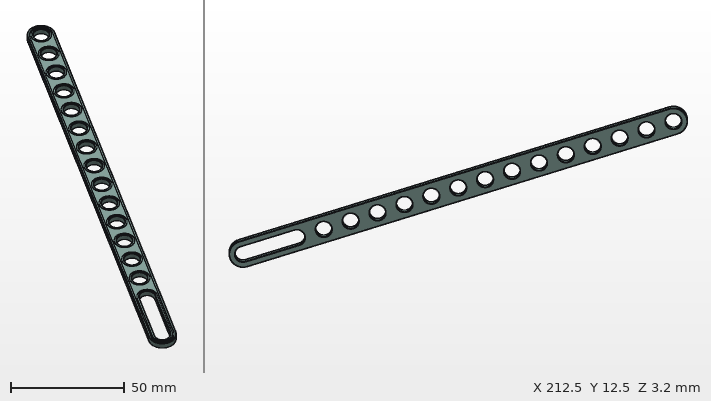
import cadquery as cq

length = 212.5
pitch_count = 17
hole_count = 14
thickness = 3.2
hole_diameter = 7.0
ring_diameter = 9.1
edge_chamfer = 0.32
recess_depth = 0.25

pitch = length / pitch_count
width = pitch
rim_width = (ring_diameter - hole_diameter) / 2
end_center_x = length / 2 - width / 2
hole_centers = [(i * pitch - end_center_x, 0) for i in range(hole_count)]
slot_start_x = hole_count * pitch - end_center_x
slot_center_x = (slot_start_x + end_center_x) / 2
slot_travel = end_center_x - slot_start_x


def round_ended_bar(bar_length, bar_width, height, bottom_z):
    """Flat bar with semicircular ends, centred on the Z axis."""
    base = cq.Workplane("XY", origin=(0, 0, bottom_z))
    return base.slot2D(bar_length, bar_width).extrude(height)


def opening_prisms(diameter, height, bottom_z):
    """Prisms standing on the hole pattern and the end slot, all of one width."""
    base = cq.Workplane("XY", origin=(0, 0, bottom_z))
    holes = base.pushPoints(hole_centers).circle(diameter / 2).extrude(height)
    slot = base.center(slot_center_x, 0).slot2D(slot_travel + diameter, diameter).extrude(height)
    return holes.union(slot)


def perforated_bar():
    """Full-thickness bar with its openings, all edges of both faces chamfered."""
    blank = round_ended_bar(length, width, thickness, -thickness / 2)
    bar = blank.cut(opening_prisms(hole_diameter, thickness, -thickness / 2))
    return bar.faces("|Z").edges().chamfer(edge_chamfer)


def panel_recess():
    """Shallow recess in the top face, inside the rim, that leaves a ring around every opening."""
    floor_z = thickness / 2 - recess_depth
    panel = round_ended_bar(length - 2 * rim_width, width - 2 * rim_width, recess_depth, floor_z)
    return panel.cut(opening_prisms(ring_diameter, recess_depth, floor_z))


result = perforated_bar().cut(panel_recess())